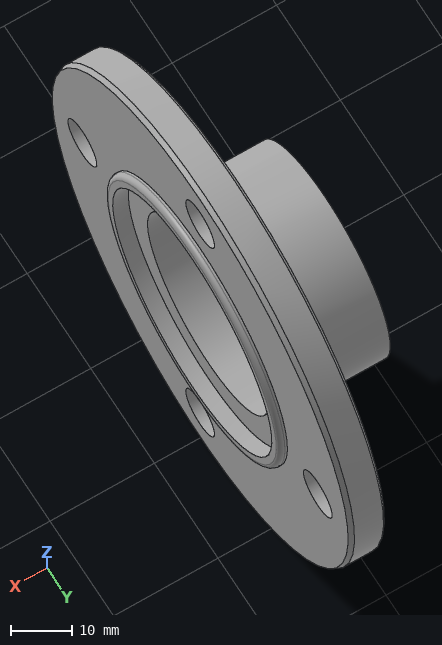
import cadquery as cq

neck_length = 17.0
plate_thickness = 7.0
raised_face_height = 1.5

plate_diameter = 94.0
neck_diameter = 41.0
bore_diameter = 38.0
raised_face_diameter = 54.9

recess_diameter = 50.0
recess_depth = 3.0

bolt_hole_count = 4
bolt_hole_diameter = 9.0
bolt_circle_diameter = 74.0

neck_fillet = 3.0
raised_face_fillet = 1.0
neck_side_chamfer = 0.5
face_side_chamfer_length = 0.9
face_side_chamfer_depth = 0.5

plate_start = neck_length
plate_end = plate_start + plate_thickness
total_length = plate_end + raised_face_height
recess_floor = total_length - recess_depth


def flange_body():
    """Revolve the half section of neck, plate, raised face and recess about X."""
    bore_radius = bore_diameter / 2
    neck_radius = neck_diameter / 2
    plate_radius = plate_diameter / 2
    recess_radius = recess_diameter / 2
    face_radius = raised_face_diameter / 2
    section = (
        cq.Workplane("XZ")
        .moveTo(0, bore_radius)
        .lineTo(0, neck_radius)
        .lineTo(plate_start - neck_fillet, neck_radius)
        .radiusArc((plate_start, neck_radius + neck_fillet), -neck_fillet)
        .lineTo(plate_start, plate_radius - neck_side_chamfer)
        .lineTo(plate_start + neck_side_chamfer, plate_radius)
        .lineTo(plate_end - face_side_chamfer_length, plate_radius)
        .lineTo(plate_end, plate_radius - face_side_chamfer_depth)
        .lineTo(plate_end, face_radius)
        .lineTo(total_length - raised_face_fillet, face_radius)
        .radiusArc((total_length, face_radius - raised_face_fillet), raised_face_fillet)
        .lineTo(total_length, recess_radius)
        .lineTo(recess_floor, recess_radius)
        .lineTo(recess_floor, bore_radius)
        .close()
    )
    return section.revolve(360, (0, 0, 0), (1, 0, 0))


def bolt_holes():
    """Through-hole cutters spaced evenly on the bolt circle."""
    return (
        cq.Workplane("YZ", origin=(plate_start, 0, 0))
        .polarArray(bolt_circle_diameter / 2, 0, 360, bolt_hole_count)
        .circle(bolt_hole_diameter / 2)
        .extrude(plate_thickness)
    )


result = flange_body().cut(bolt_holes())